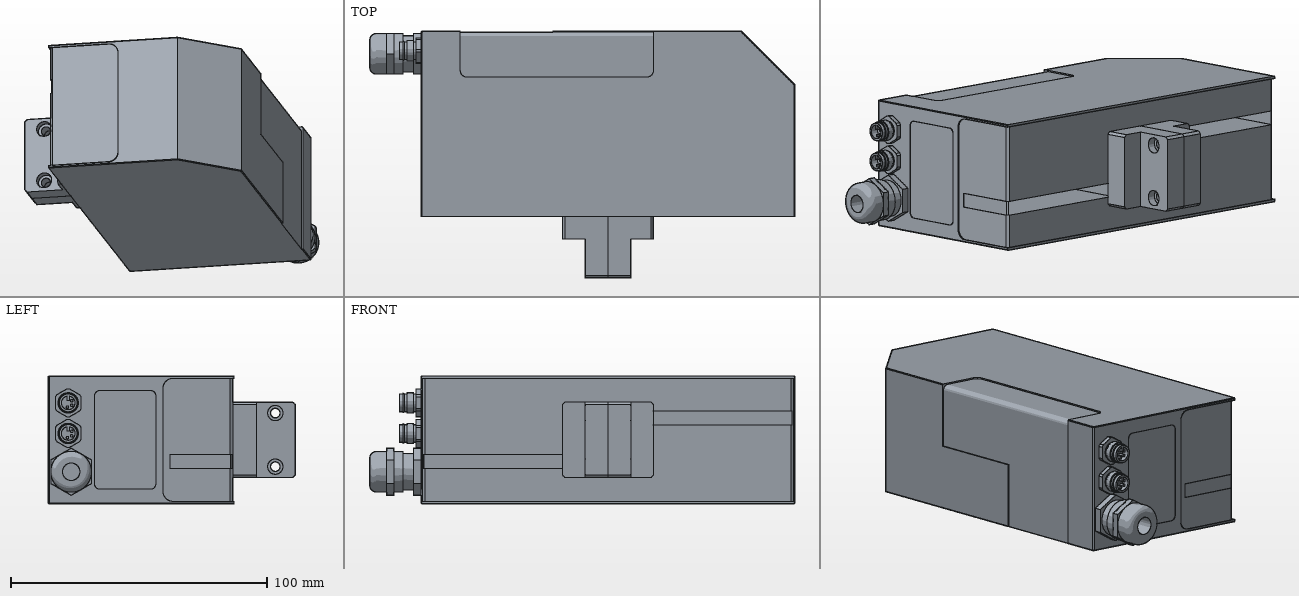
import cadquery as cq
import math


HOUSING_LENGTH = 145.9
HOUSING_DEPTH = 72.5
HOUSING_HEIGHT = 50.0
CORNER_CUT = 20.9
PLATE_THICKNESS = 1.0
CORE_SETBACK = 0.5
CORE_EDGE_CHAMFER = 1.0
RIM_CHAMFER = 0.3
REAR_EDGE_CHAMFER = 0.5
CORE_HEIGHT = HOUSING_HEIGHT - 2 * PLATE_THICKNESS
WINDOW_DEPTH_Y = 27.7
WINDOW_RADIUS = 3.8

SIDE_LABEL_START = 18.1
SIDE_LABEL_END = 42.0
SIDE_LABEL_HEIGHT = 38.5
SIDE_LABEL_RADIUS = 2.0
SIDE_LABEL_RECESS = 0.2
TOP_LABEL_START = 15.3
TOP_LABEL_REACH = 18.1
TOP_LABEL_RADIUS = 2.7
TOP_LABEL_RECESS = 0.5
TOP_LABEL_EDGE_RADIUS = 2.0
REAR_LABEL_END = 51.5

JAW_HALF_LENGTH = 17.8
JAW_HEIGHT = 29.5
JAW_BASE_DEPTH = 8.8
JAW_REACH = 23.9
FINGER_THICKNESS = 9.0
JAW_CHAMFER = 1.0
JAW_HOLE_DIAMETER = 3.7
JAW_BORE_DIAMETER = 6.0
JAW_BORE_DEPTH = 3.3
JAW_HOLE_REACH = 16.1
JAW_HOLE_HALF_SPACING = 10.5
PARTING_X = HOUSING_LENGTH / 2
TOP_LABEL_END = PARTING_X + JAW_HALF_LENGTH

SLOT_WIDTH = 5.5
SLOT_OFFSET = 8.5
SLOT_DEPTH = 25.0
SLOT_LENGTH = 56.5
SLOT_END_WALL = 1.2
SLOT_PANEL_RECESS = 0.2

GLAND_AXIS_FROM_REAR = 9.0
GLAND_AXIS_Z = -12.5
GLAND_LENGTH = 20.1
GLAND_DIAMETER = 16.0
GLAND_NECK_DIAMETER = 14.3
GLAND_BASE_HEX_END = 3.0
GLAND_NECK_END = 7.0
GLAND_NUT_START = 10.6
GLAND_NUT_END = 13.5
GLAND_CAP_RADIUS = 2.7
GLAND_BORE_DIAMETER = 6.8

CONNECTOR_AXIS_FROM_REAR = 7.8
CONNECTOR_AXIS_Z = (14.5, 2.5)
CONNECTOR_HEX_WIDTH = 10.0
CONNECTOR_HEX_CORNER_DIAMETER = 11.0
CONNECTOR_HEX_END = 2.0
COLLAR_START = 3.0
COLLAR_END = 5.5
BARB_START = 6.5
BARB_SHOULDER = 7.0
CONNECTOR_LENGTH = 8.5
CONNECTOR_DIAMETER = 7.0
COLLAR_DIAMETER = 8.0
BARB_DIAMETER = 7.6
SOCKET_DIAMETER = 5.3
SOCKET_DEPTH = 3.3
PIN_DIAMETER = 1.0
PIN_LENGTH = 2.5
PIN_CIRCLE_RADIUS = 1.7
PIN_ANGLES = (30, 325, 260)
KEY_WIDTH = 1.0
KEY_HEIGHT = 1.7


def box_between(x0, x1, y0, y1, z0, z1):
    """Axis-aligned box given by its limits."""
    return cq.Workplane("XY").box(x1 - x0, y1 - y0, z1 - z0, centered=False).translate((x0, y0, z0))


def hexagon_corner_diameter(width_across_flats):
    return width_across_flats / math.cos(math.pi / 6)


def outward_plane(axis_y, axis_z, distance=0.0):
    """Plane facing -X, at the given distance outside the cable-side face; its Y direction is +Z."""
    return cq.Plane(origin=(-distance, axis_y, axis_z), xDir=(0, -1, 0), normal=(-1, 0, 0))


def upright_hexagon(plane, width_across_flats, thickness):
    """Hexagonal prism with two corners pointing along Z."""
    return (
        cq.Workplane(plane)
        .transformed(rotate=(0, 0, 90))
        .polygon(6, hexagon_corner_diameter(width_across_flats))
        .extrude(thickness)
    )


def housing_shell():
    outline = [
        (0, 0),
        (HOUSING_LENGTH, 0),
        (HOUSING_LENGTH, HOUSING_DEPTH - CORNER_CUT),
        (HOUSING_LENGTH - CORNER_CUT, HOUSING_DEPTH),
        (0, HOUSING_DEPTH),
    ]
    block = cq.Workplane("XY").polyline(outline).close().extrude(HOUSING_HEIGHT / 2, both=True)
    block = block.edges(cq.NearestToPointSelector((0, HOUSING_DEPTH, 0))).chamfer(REAR_EDGE_CHAMFER)
    return block.faces("|Z").edges("not <Y").chamfer(RIM_CHAMFER)


def front_clearance():
    """Strip removed between the plates so that the core stands back from their rims."""
    half = CORE_HEIGHT / 2
    return box_between(0, HOUSING_LENGTH, 0, CORE_SETBACK, -half, half)


def end_window(face_x):
    """Cut-away of the cover on one end face, open toward the front, with two round corners."""
    half = CORE_HEIGHT / 2
    window = box_between(-CORE_SETBACK, CORE_SETBACK, 0, WINDOW_DEPTH_Y, -half, half)
    return window.edges("|X and >Y").fillet(WINDOW_RADIUS).translate((face_x, 0, 0))


def core_corner_chamfers():
    """Wedges that bevel the two front upright edges of the core, between the plates."""
    leg = CORE_EDGE_CHAMFER
    near = CORE_SETBACK
    far = HOUSING_LENGTH - CORE_SETBACK
    wedges = cq.Workplane("XY").workplane(offset=-CORE_HEIGHT / 2)
    for corner, inward in ((near, leg), (far, -leg)):
        wedges = wedges.polyline(
            [(corner, CORE_SETBACK), (corner + inward, CORE_SETBACK), (corner, CORE_SETBACK + leg)]
        ).close()
    return wedges.extrude(CORE_HEIGHT)


def guide_slots():
    """Lower slot toward the cable-side end and upper slot toward the other end."""
    half = SLOT_WIDTH / 2
    lower_start = SLOT_END_WALL
    upper_end = HOUSING_LENGTH - SLOT_END_WALL
    lower = box_between(
        lower_start, lower_start + SLOT_LENGTH, 0, SLOT_DEPTH, -SLOT_OFFSET - half, -SLOT_OFFSET + half
    )
    upper = box_between(
        upper_end - SLOT_LENGTH, upper_end, 0, SLOT_DEPTH, SLOT_OFFSET - half, SLOT_OFFSET + half
    )
    return lower.union(upper)


def slot_panel_recess():
    """Shallow recess on the core's cable-side end, as deep in Y and as wide as the lower slot."""
    half = SLOT_WIDTH / 2
    floor_x = CORE_SETBACK + SLOT_PANEL_RECESS
    return box_between(0, floor_x, 0, SLOT_DEPTH, -SLOT_OFFSET - half, -SLOT_OFFSET + half)


def side_label_recess():
    half = SIDE_LABEL_HEIGHT / 2
    rear = HOUSING_DEPTH - SIDE_LABEL_START
    front = HOUSING_DEPTH - SIDE_LABEL_END
    recess = box_between(-SIDE_LABEL_RECESS, SIDE_LABEL_RECESS, front, rear, -half, half)
    return recess.edges("|X").fillet(SIDE_LABEL_RADIUS)


def wrapped_label_recess():
    """Recess on the +Z plate that continues around a rounded edge onto the rear face."""
    top = HOUSING_HEIGHT / 2
    front = HOUSING_DEPTH - TOP_LABEL_REACH
    floor_z = top - TOP_LABEL_RECESS
    rear_y = HOUSING_DEPTH - TOP_LABEL_RECESS
    envelope = box_between(TOP_LABEL_START, TOP_LABEL_END, front, HOUSING_DEPTH, 0, top)
    envelope = envelope.edges("|Z and <Y").fillet(TOP_LABEL_RADIUS)
    kept = box_between(TOP_LABEL_START, TOP_LABEL_END, front, rear_y, 0, floor_z)
    kept = kept.edges("|X and >Y and >Z").fillet(TOP_LABEL_EDGE_RADIUS)
    return envelope.cut(kept)


def rear_label_recess():
    """Lower part of the rear recess, shorter than the upper part."""
    rear_y = HOUSING_DEPTH - TOP_LABEL_RECESS
    return box_between(TOP_LABEL_START, REAR_LABEL_END, rear_y, HOUSING_DEPTH, -HOUSING_HEIGHT / 2, 0)


def make_housing():
    housing = housing_shell().cut(front_clearance())
    for face_x in (0, HOUSING_LENGTH):
        housing = housing.cut(end_window(face_x))
    housing = housing.cut(core_corner_chamfers()).cut(guide_slots())
    housing = housing.cut(slot_panel_recess())
    return housing.cut(side_label_recess()).cut(wrapped_label_recess()).cut(rear_label_recess())


def make_jaw(direction):
    """L-shaped jaw on one side of the parting plane; direction is -1 or +1 along X."""
    outline = [
        (0, CORE_SETBACK),
        (JAW_HALF_LENGTH, CORE_SETBACK),
        (JAW_HALF_LENGTH, -JAW_BASE_DEPTH),
        (FINGER_THICKNESS, -JAW_BASE_DEPTH),
        (FINGER_THICKNESS, -JAW_REACH),
        (0, -JAW_REACH),
    ]
    jaw = cq.Workplane("XY").polyline(outline).close().extrude(JAW_HEIGHT / 2, both=True)
    jaw = jaw.faces(">X").edges("|Y").chamfer(JAW_CHAMFER)
    jaw = jaw.faces("<Y").edges("|X").chamfer(JAW_CHAMFER)
    outer_side = cq.Plane(
        origin=(FINGER_THICKNESS, -JAW_HOLE_REACH, 0), xDir=(0, 1, 0), normal=(1, 0, 0)
    )
    jaw = (
        cq.Workplane(outer_side)
        .add(jaw)
        .pushPoints([(0, JAW_HOLE_HALF_SPACING), (0, -JAW_HOLE_HALF_SPACING)])
        .cboreHole(JAW_HOLE_DIAMETER, JAW_BORE_DIAMETER, JAW_BORE_DEPTH)
    )
    if direction < 0:
        jaw = jaw.mirror("YZ")
    return jaw.translate((PARTING_X, 0, 0))


def make_gland():
    axis_y = HOUSING_DEPTH - GLAND_AXIS_FROM_REAR
    base_plane = outward_plane(axis_y, GLAND_AXIS_Z)
    nut_plane = outward_plane(axis_y, GLAND_AXIS_Z, GLAND_NUT_START)
    body_plane = outward_plane(axis_y, GLAND_AXIS_Z, GLAND_NECK_END)
    neck = cq.Workplane(base_plane).circle(GLAND_NECK_DIAMETER / 2).extrude(GLAND_NECK_END)
    cap = cq.Workplane(body_plane).circle(GLAND_DIAMETER / 2).extrude(GLAND_LENGTH - GLAND_NECK_END)
    cap = cap.faces("<X").edges().fillet(GLAND_CAP_RADIUS)
    base_hex = upright_hexagon(base_plane, GLAND_DIAMETER, GLAND_BASE_HEX_END)
    nut = upright_hexagon(nut_plane, GLAND_DIAMETER, GLAND_NUT_END - GLAND_NUT_START)
    bore = cq.Workplane(base_plane).circle(GLAND_BORE_DIAMETER / 2).extrude(GLAND_LENGTH)
    return neck.union(cap).union(base_hex).union(nut).cut(bore)


def connector_barrel():
    """Turned barrel along the local X axis, with its collar and barb."""
    core = CONNECTOR_DIAMETER / 2
    collar = COLLAR_DIAMETER / 2
    barb = BARB_DIAMETER / 2
    profile = [
        (0, 0),
        (0, core),
        (-COLLAR_START, core),
        (-COLLAR_START, collar),
        (-COLLAR_END, collar),
        (-COLLAR_END, core),
        (-BARB_START, core),
        (-BARB_SHOULDER, barb),
        (-BARB_SHOULDER, core),
        (-CONNECTOR_LENGTH, core),
        (-CONNECTOR_LENGTH, 0),
    ]
    return cq.Workplane("XY").polyline(profile).close().revolve(360, (0, 0, 0), (1, 0, 0))


def connector_hexagon():
    """Hexagon whose corners are turned down to a cylinder."""
    plane = outward_plane(0, 0)
    turned = cq.Workplane(plane).circle(CONNECTOR_HEX_CORNER_DIAMETER / 2).extrude(CONNECTOR_HEX_END)
    return upright_hexagon(plane, CONNECTOR_HEX_WIDTH, CONNECTOR_HEX_END).intersect(turned)


def connector_contacts():
    """Pins on the socket floor, and the key on the socket wall."""
    floor_plane = outward_plane(0, 0, CONNECTOR_LENGTH - SOCKET_DEPTH)
    spots = [
        (
            PIN_CIRCLE_RADIUS * math.cos(math.radians(angle)),
            PIN_CIRCLE_RADIUS * math.sin(math.radians(angle)),
        )
        for angle in PIN_ANGLES
    ]
    pins = cq.Workplane(floor_plane).pushPoints(spots).circle(PIN_DIAMETER / 2).extrude(PIN_LENGTH)
    socket_radius = SOCKET_DIAMETER / 2
    key = (
        cq.Workplane(floor_plane)
        .center(0, socket_radius)
        .rect(KEY_WIDTH, 2 * KEY_HEIGHT)
        .extrude(SOCKET_DEPTH)
    )
    key = key.intersect(cq.Workplane(floor_plane).circle(CONNECTOR_DIAMETER / 2).extrude(SOCKET_DEPTH))
    return pins.union(key)


def make_connector(axis_z):
    mouth = outward_plane(0, 0, CONNECTOR_LENGTH - SOCKET_DEPTH)
    socket = cq.Workplane(mouth).circle(SOCKET_DIAMETER / 2).extrude(SOCKET_DEPTH)
    connector = connector_barrel().union(connector_hexagon()).cut(socket).union(connector_contacts())
    return connector.translate((0, HOUSING_DEPTH - CONNECTOR_AXIS_FROM_REAR, axis_z))


housing = make_housing()
gland = make_gland()
jaws = [make_jaw(direction) for direction in (-1, 1)]
connectors = [make_connector(axis_z) for axis_z in CONNECTOR_AXIS_Z]

result = cq.Compound.makeCompound(
    [
        housing.val(),
        gland.val(),
        *[jaw.val() for jaw in jaws],
        *[connector.val() for connector in connectors],
    ]
)